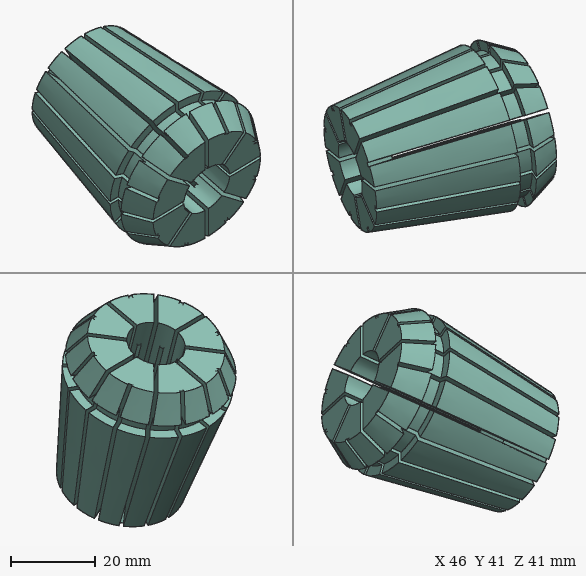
import cadquery as cq
import math

length = 46.0
max_radius = 41.0 / 2
body_taper = 8.0
nose_taper = 30.0
body_length = 34.95
groove_width = 4.05
groove_radius = 18.0
bore_radius = 7.0

slots_per_set = 8
slot_pitch = 360 / slots_per_set
slot_width = 1.0
saw_radius = 40.0
nose_slot_exit = 14.5
nose_slot_run = 8.6
back_slot_exit = 16.05
back_slot_run = 7.5

nose_start = body_length + groove_width
back_end_radius = max_radius - body_length * math.tan(math.radians(body_taper))
nose_end_radius = max_radius - (length - nose_start) * math.tan(math.radians(nose_taper))


def collet_body():
    half_section = (
        cq.Workplane("XY")
        .moveTo(0, bore_radius)
        .lineTo(0, back_end_radius)
        .lineTo(body_length, max_radius)
        .lineTo(body_length, groove_radius)
        .lineTo(nose_start, groove_radius)
        .lineTo(nose_start, max_radius)
        .lineTo(length, nose_end_radius)
        .lineTo(length, bore_radius)
        .close()
    )
    return half_section.revolve(360, (0, 0, 0), (1, 0, 0))


def saw_disc(exit_x, inward, exit_radius, run):
    """Saw disc standing in the XZ plane on the +Z side of the bore.

    Its rim passes through the exit point on the end face at exit_x and through the
    bore wall, run further along the axis. inward is +1 or -1: the axial direction
    from that end face into the body.
    """
    drop = exit_radius - bore_radius
    chord = math.hypot(run, drop)
    rise = math.sqrt(saw_radius**2 - (chord / 2) ** 2)
    centre_x = exit_x + inward * (run / 2 + rise * drop / chord)
    centre_z = (exit_radius + bore_radius) / 2 + rise * run / chord
    return (
        cq.Workplane("XZ")
        .center(centre_x, centre_z)
        .circle(saw_radius)
        .extrude(slot_width / 2, both=True)
    )


def cut_slot_set(body, disc, first_angle):
    for index in range(slots_per_set):
        angle = first_angle + index * slot_pitch
        body = body.cut(disc.rotate((0, 0, 0), (1, 0, 0), angle))
    return body


nose_slot_disc = saw_disc(0, 1, nose_slot_exit, nose_slot_run)
back_slot_disc = saw_disc(length, -1, back_slot_exit, back_slot_run)

result = collet_body()
result = cut_slot_set(result, nose_slot_disc, 0)
result = cut_slot_set(result, back_slot_disc, slot_pitch / 2)